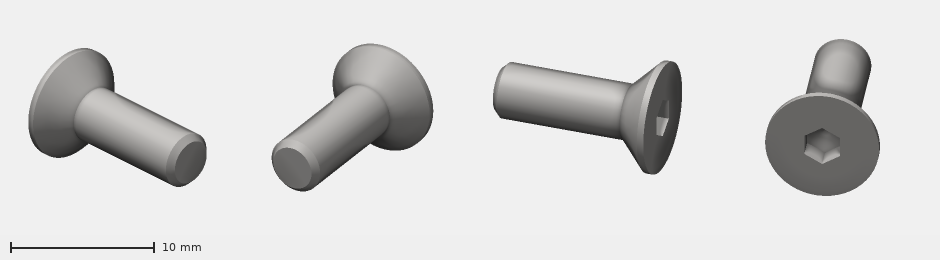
import cadquery as cq
import math

overall_length = 12.0
shank_diameter = 4.0
head_diameter = 2 * shank_diameter
head_cone_angle = 90.0
head_rim_thickness = 0.48
tip_chamfer_length = 0.45
tip_chamfer_depth = 0.43

socket_across_flats = 2.5
socket_depth = 1.5
socket_cone_angle = 120.0

shank_radius = shank_diameter / 2
head_radius = head_diameter / 2
head_cone_length = (head_radius - shank_radius) / math.tan(math.radians(head_cone_angle / 2))
head_height = head_rim_thickness + head_cone_length
socket_corner_radius = socket_across_flats / math.sqrt(3)
socket_cone_depth = socket_corner_radius / math.tan(math.radians(socket_cone_angle / 2))


def screw_body():
    """Head, shank and tip chamfer, revolved about the X axis."""
    return (
        cq.Workplane("XY")
        .moveTo(0, 0)
        .lineTo(0, head_radius)
        .lineTo(head_rim_thickness, head_radius)
        .lineTo(head_height, shank_radius)
        .lineTo(overall_length - tip_chamfer_length, shank_radius)
        .lineTo(overall_length, shank_radius - tip_chamfer_depth)
        .lineTo(overall_length, 0)
        .close()
        .revolve(360, (0, 0, 0), (1, 0, 0))
    )


def hex_socket():
    """Hexagonal prism with corners on the Z axis, ended by a cone that meets its corners."""
    prism = (
        cq.Workplane("YZ")
        .polygon(6, 2 * socket_corner_radius)
        .extrude(socket_depth + socket_cone_depth)
        .rotate((0, 0, 0), (1, 0, 0), 90)
    )
    pointed_cylinder = (
        cq.Workplane("XY")
        .moveTo(0, 0)
        .lineTo(0, socket_corner_radius)
        .lineTo(socket_depth, socket_corner_radius)
        .lineTo(socket_depth + socket_cone_depth, 0)
        .close()
        .revolve(360, (0, 0, 0), (1, 0, 0))
    )
    return prism.intersect(pointed_cylinder)


result = screw_body().cut(hex_socket())